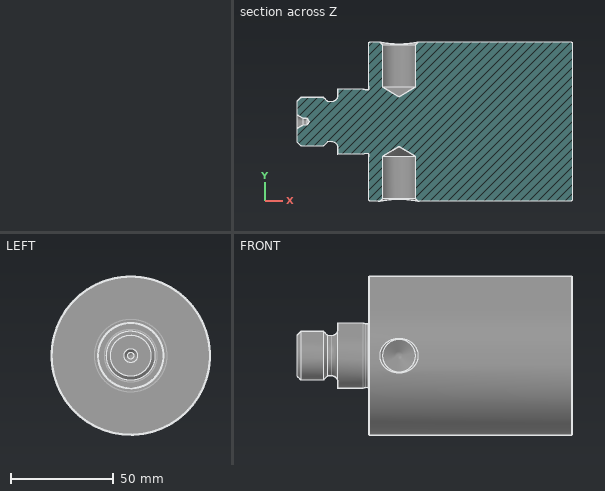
import cadquery as cq
import math

total_length = 135.0
body_diameter = 78.0
body_start = 35.0
body_chamfer = 0.5

drill_point_angle = math.radians(118.0)

tip_diameter = 24.0
tip_chamfer = 2.0
neck_diameter = 19.8
collar_start = 20.0
neck_fillet = 3.0
neck_taper_start = 13.0

collar_diameter = 32.0
relief_diameter = 31.4
relief_width = 2.5
relief_face_depth = 0.225
relief_radius = 0.6
relief_side_angle = math.radians(15.0)
relief_face_angle = math.radians(8.0)

pilot_diameter = 3.15
centre_diameter = 6.7
centre_cone_angle = math.radians(60.0)
pilot_length = 2.0

side_hole_x = 50.0
side_hole_diameter = 16.0
side_hole_depth = 22.0
side_sink_diameter = 18.8


def cone_height(large_diameter, small_diameter, included_angle):
    return (large_diameter - small_diameter) / 2 / math.tan(included_angle / 2)


def make_turned_body():
    body_r = body_diameter / 2
    tip_r = tip_diameter / 2
    neck_r = neck_diameter / 2
    collar_r = collar_diameter / 2
    relief_r = relief_diameter / 2

    neck_start = neck_taper_start + tip_r - neck_r
    neck_end = collar_start - neck_fillet
    fillet_mid = neck_fillet * math.sqrt(0.5)

    relief_start = body_start - relief_width
    relief_floor_start = relief_start + (collar_r - relief_r) / math.tan(relief_side_angle)
    relief_bottom = body_start + relief_face_depth
    arc_centre_x = relief_bottom - relief_radius
    arc_centre_r = relief_r + relief_radius
    arc_mid_angle = (math.pi / 2 - relief_face_angle) / 2
    arc_end_x = arc_centre_x + relief_radius * math.cos(relief_face_angle)
    arc_end_r = arc_centre_r - relief_radius * math.sin(relief_face_angle)
    relief_outer_r = arc_end_r + (arc_end_x - body_start) / math.tan(relief_face_angle)

    return (
        cq.Workplane("XY")
        .moveTo(0, 0)
        .lineTo(0, tip_r - tip_chamfer)
        .lineTo(tip_chamfer, tip_r)
        .lineTo(neck_taper_start, tip_r)
        .lineTo(neck_start, neck_r)
        .lineTo(neck_end, neck_r)
        .threePointArc(
            (neck_end + fillet_mid, neck_r + neck_fillet - fillet_mid),
            (collar_start, neck_r + neck_fillet),
        )
        .lineTo(collar_start, collar_r)
        .lineTo(relief_start, collar_r)
        .lineTo(relief_floor_start, relief_r)
        .lineTo(arc_centre_x, relief_r)
        .threePointArc(
            (
                arc_centre_x + relief_radius * math.sin(arc_mid_angle),
                arc_centre_r - relief_radius * math.cos(arc_mid_angle),
            ),
            (arc_end_x, arc_end_r),
        )
        .lineTo(body_start, relief_outer_r)
        .lineTo(body_start, body_r - body_chamfer)
        .lineTo(body_start + body_chamfer, body_r)
        .lineTo(total_length - body_chamfer, body_r)
        .lineTo(total_length, body_r - body_chamfer)
        .lineTo(total_length, 0)
        .close()
        .revolve(360, (0, 0, 0), (1, 0, 0))
    )


def make_centre_drilling():
    cone_end = cone_height(centre_diameter, pilot_diameter, centre_cone_angle)
    pilot_end = cone_end + pilot_length
    point_end = pilot_end + cone_height(pilot_diameter, 0, drill_point_angle)
    return (
        cq.Workplane("XY")
        .moveTo(0, 0)
        .lineTo(0, centre_diameter / 2)
        .lineTo(cone_end, pilot_diameter / 2)
        .lineTo(pilot_end, pilot_diameter / 2)
        .lineTo(point_end, 0)
        .close()
        .revolve(360, (0, 0, 0), (1, 0, 0))
    )


def make_side_hole(side):
    """Countersunk drilling from the -Y side (side = -1) or the +Y side (side = 1)."""
    hole_r = side_hole_diameter / 2
    sink_r = side_sink_diameter / 2
    surface = body_diameter / 2
    sink_bottom = surface - (sink_r - hole_r)
    floor = surface - side_hole_depth
    point = floor - cone_height(side_hole_diameter, 0, drill_point_angle)
    return (
        cq.Workplane("XY")
        .moveTo(side_hole_x, side * surface)
        .lineTo(side_hole_x + sink_r, side * surface)
        .lineTo(side_hole_x + hole_r, side * sink_bottom)
        .lineTo(side_hole_x + hole_r, side * floor)
        .lineTo(side_hole_x, side * point)
        .close()
        .revolve(360, (side_hole_x, 0, 0), (side_hole_x, 1, 0))
    )


result = make_turned_body().cut(make_centre_drilling())
for side in (-1, 1):
    result = result.cut(make_side_hole(side))